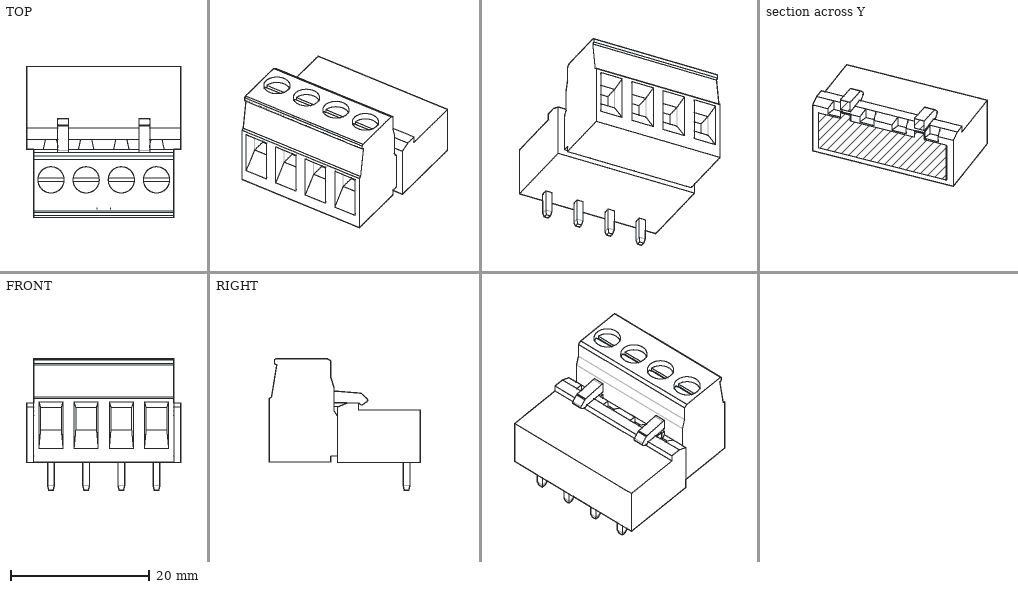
import cadquery as cq


pole_count = 4
pitch = 5.1
pole_positions = [(i - (pole_count - 1) / 2) * pitch for i in range(pole_count)]

header_length = 22.32
header_front = 9.87
header_back = 21.9
header_height = 7.63
rib_height = 8.64
rib_back = 12.95
bevel_back = 11.3
bevel_front_height = 8.05

notch_front_width = 2.23
notch_back_width = 1.6
notch_floor = 7.15

pin_width = 1.0
pin_tip_width = 0.67
pin_tip_height = 0.67
pin_length = 4.0
pin_y = 19.89

plug_length = 20.27
plug_bottom = 0.1
plug_top = 15.05
plug_upper_back = 8.95
plug_back = 9.4
plug_waist_top = 12.35
plug_waist_bottom = 10.9
rear_chamfer_width = 0.51
rear_chamfer_height = 0.31
ledge_depth = 0.33
ledge_front_height = 9.3
ledge_back_height = 9.46
upper_front_y = 1.1
upper_front_top = 14.15
lip_front = 0.75
lip_bottom = 14.3
lip_chamfer_width = 0.22
lip_chamfer_height = 0.18
joint_bevel_top = 7.48
joint_bottom = 0.94
joint_top = 6.79

opening_width = 3.48
opening_bottom = 2.08
opening_top = 8.8
throat_width = 3.0
throat_bottom = 4.75
throat_top = 7.97
funnel_depth = 1.87
throat_depth = 2.15

screw_diameter = 3.8
screw_y = 5.47
screw_recess = 1.0
slot_width = 0.47
slot_depth = 0.45

latch_width = 1.58
latch_positions = [-5.87, 5.87]
latch_foot_top = 8.12
latch_root_y = 9.69
latch_root_top = 10.35
hook_corners = [
    (13.3, 8.33),
    (13.48, 8.33),
    (14.2, 8.84),
    (14.3, 9.05),
    (14.2, 9.25),
    (13.4, 10.0),
    (13.24, 10.07),
]


def extrude_profile(points, length, centre_x=0.0):
    """Extrude a closed (y, z) outline along X, centred on centre_x."""
    start = centre_x - length / 2
    return cq.Workplane("YZ", origin=(start, 0, 0)).polyline(points).close().extrude(length)


def make_header():
    return extrude_profile(
        [
            (header_front, 0),
            (header_back, 0),
            (header_back, header_height),
            (rib_back, header_height),
            (rib_back, rib_height),
            (bevel_back, rib_height),
            (header_front, bevel_front_height),
        ],
        header_length,
    )


def make_notch(x):
    """Cutter for a notch in the bevel that narrows towards the back."""
    return (
        cq.Workplane("XY", origin=(x, 0, notch_floor))
        .polyline(
            [
                (-notch_front_width / 2, header_front),
                (notch_front_width / 2, header_front),
                (notch_back_width / 2, bevel_back),
                (-notch_back_width / 2, bevel_back),
            ]
        )
        .close()
        .extrude(rib_height - notch_floor)
    )


def make_pin(x):
    """Square pin with a tapered tip, hanging from the header underside."""
    shank_length = pin_length - pin_tip_height
    shank = cq.Workplane("XY", origin=(x, pin_y, 0)).rect(pin_width, pin_width).extrude(-shank_length)
    tip = (
        cq.Workplane("XY", origin=(x, pin_y, -shank_length))
        .rect(pin_width, pin_width)
        .workplane(offset=-pin_tip_height)
        .rect(pin_tip_width, pin_tip_width)
        .loft()
    )
    return shank.union(tip)


def make_plug():
    return extrude_profile(
        [
            (0, plug_bottom),
            (0, ledge_front_height),
            (ledge_depth, ledge_back_height),
            (upper_front_y, upper_front_top),
            (lip_front, lip_bottom),
            (lip_front, plug_top - lip_chamfer_height),
            (lip_front + lip_chamfer_width, plug_top),
            (plug_upper_back - rear_chamfer_width, plug_top),
            (plug_upper_back, plug_top - rear_chamfer_height),
            (plug_upper_back, plug_waist_top),
            (plug_back, plug_waist_bottom),
            (plug_back, joint_bevel_top),
            (header_front, joint_top),
            (header_front, joint_bottom),
            (plug_upper_back, joint_bottom),
            (plug_upper_back, plug_bottom),
        ],
        plug_length,
    )


def make_opening(x):
    """Cutter for a wire opening: a tapering funnel that ends in a straight throat."""
    mouth_centre = (opening_bottom + opening_top) / 2
    throat_centre = (throat_bottom + throat_top) / 2
    throat_height = throat_top - throat_bottom
    funnel = (
        cq.Workplane("XZ", origin=(x, 0, mouth_centre))
        .rect(opening_width, opening_top - opening_bottom)
        .workplane(offset=-funnel_depth)
        .center(0, throat_centre - mouth_centre)
        .rect(throat_width, throat_height)
        .loft()
    )
    throat = (
        cq.Workplane("XZ", origin=(x, funnel_depth, throat_centre))
        .rect(throat_width, throat_height)
        .extrude(-throat_depth)
    )
    return funnel.union(throat)


def make_screw_recess(x):
    """Cutter for the space above a sunken screw head, together with the slot in the head."""
    head_z = plug_top - screw_recess
    head_plane = cq.Workplane("XY", origin=(x, screw_y, head_z))
    recess = head_plane.circle(screw_diameter / 2).extrude(screw_recess)
    disc = head_plane.circle(screw_diameter / 2).extrude(-slot_depth)
    bar = head_plane.rect(screw_diameter, slot_width).extrude(-slot_depth)
    return recess.union(disc.intersect(bar))


def make_latch(x):
    """Hooked arm that reaches over the header rib, with a small foot filling the joint below it."""
    arm = extrude_profile(
        [
            (plug_upper_back, rib_height),
            (rib_back, rib_height),
            *hook_corners,
            (latch_root_y, latch_root_top),
            (plug_upper_back, latch_root_top),
        ],
        latch_width,
        x,
    )
    foot = extrude_profile(
        [
            (plug_upper_back, joint_top),
            (header_front, joint_top),
            (header_front, latch_foot_top),
            (plug_upper_back, latch_foot_top),
        ],
        latch_width,
        x,
    )
    return arm.union(foot)


header = make_header()
plug = make_plug()
for pole_x in pole_positions:
    header = header.cut(make_notch(pole_x)).union(make_pin(pole_x))
    plug = plug.cut(make_opening(pole_x)).cut(make_screw_recess(pole_x))
for latch_x in latch_positions:
    plug = plug.union(make_latch(latch_x))

result = header.union(plug)